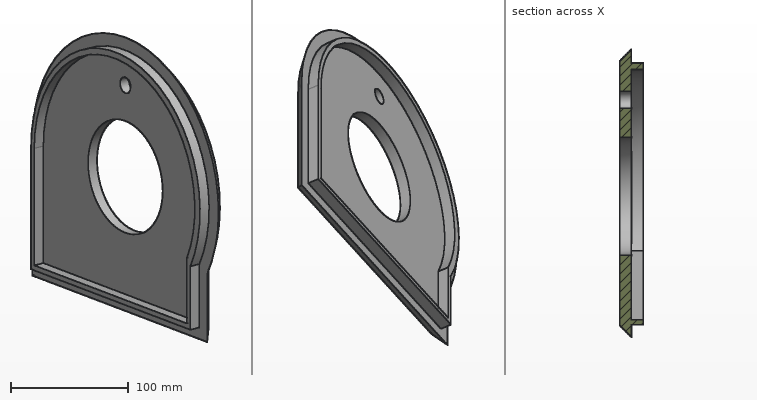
import cadquery as cq
import math

flange_radius = 125.0
flange_right = 110.0
flange_bottom = -120.0
flange_thickness = 10.0
bevel_angle = 45.0

rim_height = 10.0
rim_setback = 10.5
rim_width = 4.5
rim_outer_radius = 113.5
rim_inner_radius = 107.7

bore_radius = 50.0
small_hole_radius = 7.0
small_hole_height = 82.0


def outline(inset, radius):
    """Arched outline whose straight sides sit a given inset inside the flange.

    The arc leaves the left side tangentially at Z = 0, so its centre
    lies one radius to the right of that side.
    """
    left = inset - flange_radius
    right = flange_right - inset
    bottom = flange_bottom + inset
    arc_centre = left + radius
    arc_end_z = -math.sqrt(radius**2 - (right - arc_centre) ** 2)
    return (
        cq.Workplane("XZ")
        .moveTo(right, bottom)
        .lineTo(left, bottom)
        .lineTo(left, 0)
        .threePointArc((arc_centre, radius), (right, arc_end_z))
        .close()
    )


def through_hole(radius, height):
    """Cylinder along Y that cuts the full flange thickness."""
    return cq.Workplane("XZ").center(0, height).circle(radius).extrude(-flange_thickness)


flange = outline(0, flange_radius).extrude(-flange_thickness, taper=bevel_angle)

rim_body = outline(rim_setback, rim_outer_radius).extrude(rim_height)
rim_recess = outline(rim_setback + rim_width, rim_inner_radius).extrude(rim_height)
rim = rim_body.cut(rim_recess)

bore = through_hole(bore_radius, 0)
small_hole = through_hole(small_hole_radius, small_hole_height)

result = flange.union(rim).cut(bore).cut(small_hole)